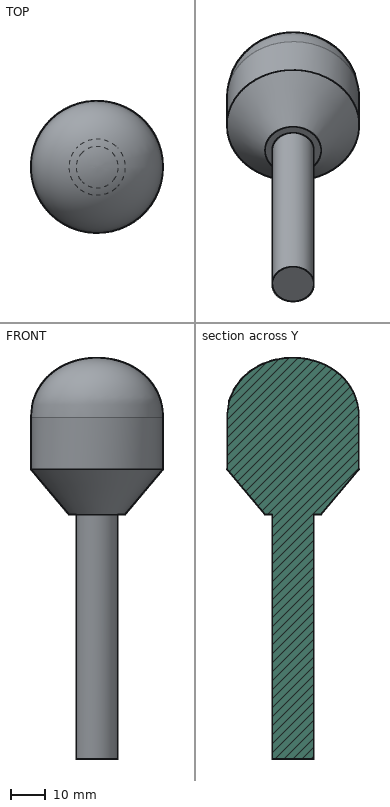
import cadquery as cq

total_length = 115.0
head_diameter = 38.0
stem_diameter = 12.0
stem_length = 70.0
taper_height = 13.0
taper_small_diameter = 16.1
band_height = 15.0
dome_fullness = 0.57

head_radius = head_diameter / 2
stem_radius = stem_diameter / 2
taper_small_radius = taper_small_diameter / 2

band_bottom = stem_length + taper_height
band_top = band_bottom + band_height
dome_height = total_length - band_top

dome_curve = [
    (head_radius, band_top),
    (head_radius, band_top + dome_fullness * dome_height),
    (dome_fullness * head_radius, total_length),
    (0, total_length),
]

profile = (
    cq.Workplane("XZ")
    .lineTo(stem_radius, 0)
    .lineTo(stem_radius, stem_length)
    .lineTo(taper_small_radius, stem_length)
    .lineTo(head_radius, band_bottom)
    .lineTo(head_radius, band_top)
    .bezier(dome_curve)
    .close()
)

result = profile.revolve(360, (0, 0, 0), (0, 1, 0))